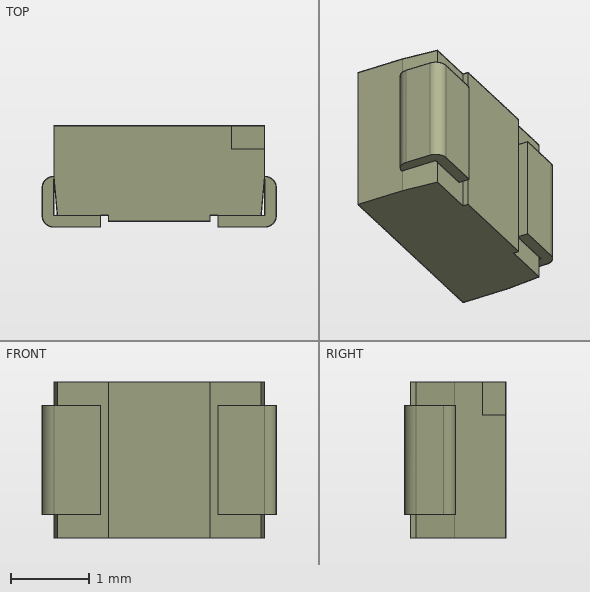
import cadquery as cq

overall_length = 3.0
overall_depth = 1.3
height = 2.0

terminal_thickness = 0.15
terminal_rise = 0.65
terminal_leg = 0.75
terminal_height = 1.398
terminal_radius = terminal_thickness

body_half_length = overall_length / 2 - terminal_thickness
body_bottom = terminal_thickness
taper_inset = 0.045
contact_band = 0.01
taper_top = terminal_rise - contact_band
pad_width = 1.302
pad_thickness = terminal_thickness / 2

notch_length = 0.425
notch_depth = 0.3
notch_drop = notch_length


def make_body():
    """Block with side walls that taper in towards its underside."""
    bottom_half_length = body_half_length - taper_inset
    outline = [
        (-body_half_length, overall_depth),
        (-body_half_length, taper_top),
        (-bottom_half_length, body_bottom),
        (bottom_half_length, body_bottom),
        (body_half_length, taper_top),
        (body_half_length, overall_depth),
    ]
    return cq.Workplane("XY").polyline(outline).close().extrude(height / 2, both=True)


def make_pad():
    """Raised central band standing off the underside between the legs."""
    return cq.Workplane("XY").box(pad_width, pad_thickness, height).translate(
        (0, body_bottom - pad_thickness / 2, 0)
    )


def make_terminal():
    """Left L-shaped terminal, rounded at its outer bend and its tip."""
    outer = -overall_length / 2
    inner = outer + terminal_thickness
    leg_end = outer + terminal_leg
    diagonal = terminal_radius * 0.5**0.5
    arc_center_x = outer + terminal_radius
    return (
        cq.Workplane("XY")
        .moveTo(leg_end, 0)
        .lineTo(leg_end, terminal_thickness)
        .lineTo(inner, terminal_thickness)
        .lineTo(inner, terminal_rise)
        .threePointArc(
            (arc_center_x - diagonal, terminal_rise - terminal_radius + diagonal),
            (outer, terminal_rise - terminal_radius),
        )
        .lineTo(outer, terminal_radius)
        .threePointArc(
            (arc_center_x - diagonal, terminal_radius - diagonal),
            (arc_center_x, 0),
        )
        .close()
        .extrude(terminal_height / 2, both=True)
    )


def make_notch():
    """Rectangular cutter for the top back corner at the +X end."""
    return cq.Workplane("XY").box(notch_length, notch_depth, notch_drop).translate(
        (
            body_half_length - notch_length / 2,
            overall_depth - notch_depth / 2,
            height / 2 - notch_drop / 2,
        )
    )


left_terminal = make_terminal()
right_terminal = left_terminal.mirror("YZ")

result = make_body().union(make_pad()).cut(make_notch())
result = result.union(left_terminal).union(right_terminal)